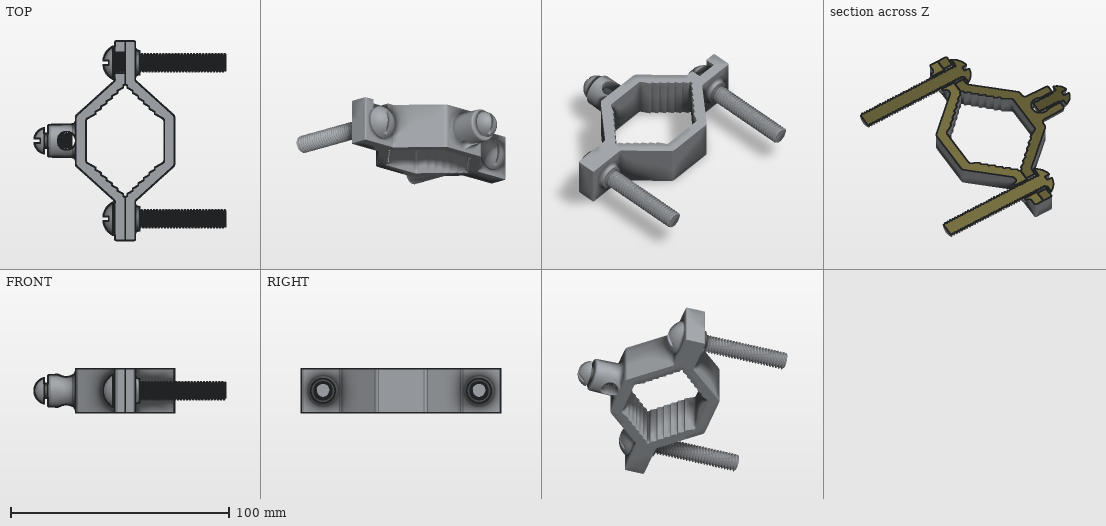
import cadquery as cq
import math


length = 91.4
height = 20.3
lug_thickness = 4.7
flat_outer_x = 22.7
flat_inner_x = 17.8
flat_corner_y = 11.3
lug_corner_y = 27.6
flat_corner_radius = 2.2
lug_corner_radius = 1.4
lug_end_radius = 0.7
inner_corner_radius = 1.1

tooth_count = 6
tooth_wall = 1.0
first_wall_x = 0.86
first_wall_y = 25.3
last_wall_x = 13.5
last_wall_y = 13.3
tooth_pitch_x = (last_wall_x - first_wall_x) / (tooth_count - 1)
tooth_pitch_y = (first_wall_y - last_wall_y) / (tooth_count - 1)

screw_y = 35.75
thread_radius = 4.0
root_radius = 3.2
span_turns = 20
turns_span = 28.2
thread_pitch = turns_span / span_turns
crest_width = 0.2
ridge_foot = 1.3
trim_margin = 0.1
ridge_overlap = 0.1
screw_tip_x = 46.2
tip_chamfer = 0.55
head_radius = 7.5
head_rim = 0.3
head_height = 4.5
slot_width = 1.9
head_slot_depth = 2.6
washer_thickness = 0.7

clearance_width = 9.5
boss_radius = 5.6
boss_length = 2.1
boss_fillet = 1.5

terminal_end_x = 35.4
terminal_tip_radius = 7.4
terminal_base_radius = 7.7
terminal_edge_radius = 0.8
terminal_fillet = 1.5
wire_hole_radius = 4.1

set_radius = 3.4
set_root_radius = 2.6
set_pitch = 1.2
set_thread_length = 11.0
set_neck = 1.7
set_head_radius = 5.9
set_head_height = 4.7
set_slot_depth = 2.8


def disc(radius, x_start, x_end):
    """Cylinder on the X axis between two X positions."""
    return cq.Workplane("YZ", origin=(x_start, 0, 0)).circle(radius).extrude(x_end - x_start)


def tooth_points():
    """Staircase from the parting plane to the inner corner, in the +X +Y quarter."""
    slope = (tooth_pitch_y - tooth_wall) / tooth_pitch_x
    points = [(0, first_wall_y + first_wall_x * slope)]
    for tooth in range(tooth_count):
        x = first_wall_x + tooth * tooth_pitch_x
        y = first_wall_y - tooth * tooth_pitch_y
        points += [(x, y), (x, y - tooth_wall)]
    last_x, last_y = points[-1]
    points.append((flat_inner_x, last_y - (flat_inner_x - last_x) * slope))
    return points


def plain_half():
    """Half shell on the +X side, without screw passages."""
    quarter = [
        *tooth_points(),
        (flat_inner_x, 0),
        (flat_outer_x, 0),
        (flat_outer_x, flat_corner_y),
        (lug_thickness, lug_corner_y),
        (lug_thickness, length / 2),
        (0, length / 2),
    ]
    half = cq.Workplane("XY").polyline(quarter).close().extrude(height / 2, both=True)
    half = half.union(half.mirror("XZ"))
    inner_corner_y = tooth_points()[-1][1]
    rounded_corners = [
        (flat_inner_x, inner_corner_y, inner_corner_radius),
        (flat_outer_x, flat_corner_y, flat_corner_radius),
        (lug_thickness, lug_corner_y, lug_corner_radius),
        (lug_thickness, length / 2, lug_end_radius),
    ]
    for x, y, radius in rounded_corners:
        for side in (1, -1):
            half = half.edges(cq.selectors.NearestToPointSelector((x, side * y, 0))).fillet(radius)
    return half


def flared_boss(face_x, end_x, base_radius, end_radius, flare, edge_radius=0):
    """Boss on a face at face_x: concave flare at its foot, optional rounded outer edge."""
    foot_x = face_x + flare
    flare_middle = flare * (1 - math.sqrt(0.5))
    profile = (
        cq.Workplane("XY")
        .moveTo(face_x, 0)
        .lineTo(face_x, base_radius + flare)
        .threePointArc((face_x + flare_middle, base_radius + flare_middle), (foot_x, base_radius))
        .lineTo(end_x, end_radius)
        .lineTo(end_x, 0)
        .close()
    )
    boss = profile.revolve(360, (0, 0, 0), (1, 0, 0))
    if edge_radius:
        boss = boss.faces(">X").edges().fillet(edge_radius)
    return boss


def make_rear_half():
    """Half on the +X side; a boss on each lug carries the screw."""
    half = plain_half()
    boss_end_x = lug_thickness + boss_length
    boss = flared_boss(lug_thickness, boss_end_x, boss_radius, boss_radius, boss_fillet)
    bore = disc(thread_radius, 0, boss_end_x)
    for side in (1, -1):
        offset = (0, side * screw_y, 0)
        half = half.union(boss.translate(offset)).cut(bore.translate(offset))
    return half


def make_front_half():
    """Half on the -X side; wire terminal, one clearance hole and one lug slot open at the top."""
    terminal = flared_boss(
        flat_outer_x,
        terminal_end_x,
        terminal_base_radius,
        terminal_tip_radius,
        terminal_fillet,
        terminal_edge_radius,
    )
    wire_hole_x = flat_outer_x + wire_hole_radius
    wire_hole = (
        cq.Workplane("XY").center(wire_hole_x, 0).circle(wire_hole_radius).extrude(height / 2, both=True)
    )
    set_bore = disc(set_radius, wire_hole_x, terminal_end_x)
    terminal = terminal.cut(wire_hole).cut(set_bore)

    clearance_hole = disc(clearance_width / 2, 0, lug_thickness)
    open_slot = clearance_hole.union(
        cq.Workplane("XY")
        .box(lug_thickness, clearance_width, height / 2, centered=(False, True, False))
    )
    half = plain_half().union(terminal)
    half = half.cut(open_slot.translate((0, screw_y, 0)))
    half = half.cut(clearance_hole.translate((0, -screw_y, 0)))
    return half.mirror("YZ")


def slotted_head(base_x, radius, dome_height, slot_depth):
    """Domed head whose flat base is at base_x and whose dome points to -X, with a slot along Z."""
    sphere_radius = (radius**2 + dome_height**2) / (2 * dome_height)
    apex_x = base_x - dome_height
    half_angle = math.asin(radius / sphere_radius) / 2
    arc_middle = (
        apex_x + sphere_radius * (1 - math.cos(half_angle)),
        sphere_radius * math.sin(half_angle),
    )
    profile = (
        cq.Workplane("XY")
        .moveTo(apex_x, 0)
        .threePointArc(arc_middle, (base_x, radius))
        .lineTo(base_x, 0)
        .close()
    )
    dome = profile.revolve(360, (0, 0, 0), (1, 0, 0))
    slot = (
        cq.Workplane("XY", origin=(apex_x, 0, 0))
        .box(slot_depth, slot_width, 2 * radius, centered=(False, True, True))
    )
    return dome.cut(slot)


def helical_thread(start_x, end_x):
    """Core and helical ridge on the X axis, with a chamfered tip at end_x."""
    sunk_radius = root_radius - ridge_overlap
    half_foot = ridge_foot / 2
    half_crest = crest_width / 2
    helix = cq.Wire.makeHelix(thread_pitch, end_x - start_x + thread_pitch, root_radius)
    ridge = (
        cq.Workplane("XZ")
        .polyline([
            (sunk_radius, -half_foot),
            (thread_radius, -half_crest),
            (thread_radius, half_crest),
            (sunk_radius, half_foot),
        ])
        .close()
        .sweep(cq.Workplane(obj=helix), isFrenet=True)
        .rotate((0, 0, 0), (0, 1, 0), 90)
        .translate((start_x, 0, 0))
    )
    envelope = disc(thread_radius + trim_margin, start_x, end_x).faces(">X").chamfer(tip_chamfer)
    return disc(root_radius, start_x, end_x).union(ridge.intersect(envelope))


def make_clamp_screw():
    """Slotted round head screw on the X axis, threaded up to its head."""
    head_base_x = -lug_thickness - washer_thickness
    dome_base_x = head_base_x - head_rim
    head = slotted_head(dome_base_x, head_radius, head_height, head_slot_depth)
    head = head.union(disc(head_radius, dome_base_x, head_base_x))
    return head.union(helical_thread(head_base_x, screw_tip_x))


def make_washer():
    """Plain washer between a screw head and the front lug."""
    outer_x = -lug_thickness - washer_thickness
    return disc(head_radius, outer_x, -lug_thickness).cut(disc(thread_radius, outer_x, -lug_thickness))


def make_terminal_screw():
    """Slotted set screw of the wire terminal, with ring shaped thread grooves."""
    thread_start_x = -terminal_end_x
    tip_x = thread_start_x + set_thread_length
    head_base_x = thread_start_x - set_neck
    points = [(head_base_x, 0), (head_base_x, set_radius), (thread_start_x, set_radius)]
    for turn in range(int(set_thread_length / set_pitch)):
        crest_x = thread_start_x + turn * set_pitch
        points += [(crest_x + set_pitch / 2, set_root_radius), (crest_x + set_pitch, set_radius)]
    points += [(tip_x, set_root_radius), (tip_x, 0)]
    shank = cq.Workplane("XY").polyline(points).close().revolve(360, (0, 0, 0), (1, 0, 0))
    return slotted_head(head_base_x, set_head_radius, set_head_height, set_slot_depth).union(shank)


rear_half = make_rear_half()
front_half = make_front_half()
terminal_screw = make_terminal_screw()
clamp_screw = make_clamp_screw()
washer = make_washer()
clamp_screws = []
washers = []
for side in (1, -1):
    clamp_screws.append(clamp_screw.translate((0, side * screw_y, 0)))
    washers.append(washer.translate((0, side * screw_y, 0)))

result = cq.Compound.makeCompound([
    rear_half.val(),
    front_half.val(),
    terminal_screw.val(),
    *[screw.val() for screw in clamp_screws],
    *[ring.val() for ring in washers],
])